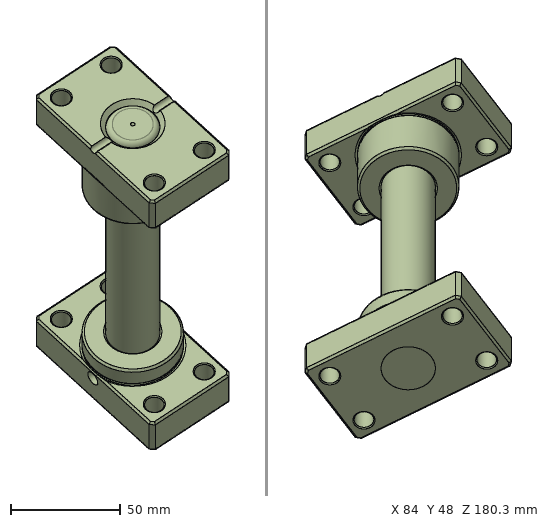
import cadquery as cq

total_height = 180.3
plate_length = 84.0
plate_width = 48.0
plate_thickness = 20.0
plate_edge_chamfer = 1.0
plate_corner_chamfer = 2.0

hole_diameter = 9
hole_chamfer = 0.5
hole_spacing_x = 66.0
hole_spacing_y = 30.0

spigot_diameter = 46.5
spigot_chamfer = 1.0
upper_spigot_height = 25.0
lower_spigot_height = 10.0
relief_width = 1.0
relief_rise = 0.5
relief_depth = 0.5

pin_diameter = 24.9
pin_recess = 0.4
pin_end_radius = 3.0
center_hole_diameter = 2.0
upper_bore_chamfer = 2.3
spigot_bore_chamfer = 0.9
bore_radius = pin_diameter / 2

groove_radius = 2.0
side_hole_diameter = 7.0
side_hole_depth_below_face = 5.0


def cone_cutter(large_radius, depth):
    """45-degree cone with its large end on Z = 0, narrowing downwards."""
    cone = cq.Solid.makeCone(large_radius - depth, large_radius, depth)
    return cq.Workplane(cone).translate((0, 0, -depth))


def chamfered_hole(location):
    """Cutter for one mounting hole through the plate, chamfered on both faces."""
    radius = hole_diameter / 2
    drill = cq.Workplane("XY").circle(radius).extrude(-plate_thickness)
    top_cone = cone_cutter(radius + hole_chamfer, hole_chamfer)
    bottom_cone = top_cone.mirror("XY").translate((0, 0, -plate_thickness))
    return drill.union(top_cone).union(bottom_cone).val().moved(location)


def make_plate():
    """Chamfered plate with its top face on Z = 0 and four mounting holes."""
    plate = (
        cq.Workplane("XY")
        .box(plate_length, plate_width, plate_thickness, centered=(True, True, False))
        .translate((0, 0, -plate_thickness))
        .edges("|Z")
        .chamfer(plate_corner_chamfer)
        .faces("|Z")
        .edges()
        .chamfer(plate_edge_chamfer)
    )
    hole_pattern = cq.Workplane("XY").rect(hole_spacing_x, hole_spacing_y, forConstruction=True).vertices()
    return plate.cut(hole_pattern.eachpoint(chamfered_hole))


def make_spigot(height):
    """Round spigot above Z = 0 with a root that reaches into the plate."""
    root = plate_thickness / 2
    return (
        cq.Workplane("XY", origin=(0, 0, -root))
        .circle(spigot_diameter / 2)
        .extrude(root + height)
        .faces(">Z")
        .edges()
        .chamfer(spigot_chamfer)
    )


def foot_relief():
    """Ring-shaped undercut in the corner between the plate face and the spigot."""
    spigot_radius = spigot_diameter / 2
    return (
        cq.Workplane("XZ")
        .moveTo(spigot_radius, relief_rise)
        .lineTo(spigot_radius - relief_depth, 0)
        .lineTo(spigot_radius, -relief_depth)
        .lineTo(spigot_radius + relief_width, 0)
        .close()
        .revolve(360, (0, 0, 0), (0, 1, 0))
    )


def flanged_bush(spigot_height):
    """Plate below Z = 0 with a bored spigot that stands up from Z = 0."""
    body = make_plate().union(make_spigot(spigot_height)).cut(foot_relief())
    bore = (
        cq.Workplane("XY", origin=(0, 0, -plate_thickness))
        .circle(bore_radius)
        .extrude(plate_thickness + spigot_height)
    )
    bore_mouth = cone_cutter(bore_radius + spigot_bore_chamfer, spigot_bore_chamfer)
    return body.cut(bore).cut(bore_mouth.translate((0, 0, spigot_height)))


def make_lower_bush():
    """Bush at the bottom, with a screw hole from its -Y side to the pin."""
    side_hole = (
        cq.Workplane("XZ", origin=(0, 0, -side_hole_depth_below_face))
        .circle(side_hole_diameter / 2)
        .extrude(plate_width / 2)
    )
    bush = flanged_bush(lower_spigot_height).cut(side_hole)
    return bush.translate((0, 0, plate_thickness))


def make_upper_bush():
    """Inverted bush at the top, with a wide bore mouth and a grease groove."""
    bush = flanged_bush(upper_spigot_height).rotate((0, 0, 0), (1, 0, 0), 180)
    bush = bush.translate((0, 0, total_height - plate_thickness))
    bore_mouth = cone_cutter(bore_radius + upper_bore_chamfer, upper_bore_chamfer)
    groove = (
        cq.Workplane("XZ", origin=(0, 0, total_height))
        .circle(groove_radius)
        .extrude(plate_width / 2, both=True)
    )
    return bush.cut(bore_mouth.translate((0, 0, total_height))).cut(groove)


def make_pin():
    """Straight pin with a rounded, centre-drilled top end."""
    top = total_height - pin_recess
    pin = cq.Workplane("XY").circle(bore_radius).extrude(top).faces(">Z").edges().fillet(pin_end_radius)
    center_drill = cone_cutter(center_hole_diameter / 2, center_hole_diameter / 2)
    return pin.cut(center_drill.translate((0, 0, top)))


lower_bush = make_lower_bush()
upper_bush = make_upper_bush()
pin = make_pin()

result = cq.Compound.makeCompound([lower_bush.val(), upper_bush.val(), pin.val()])